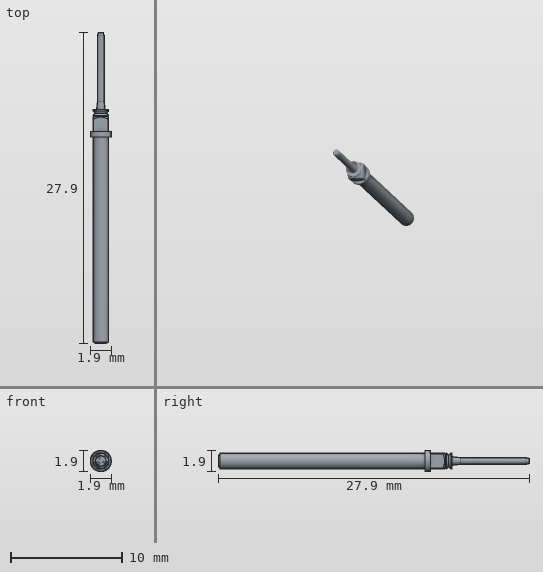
import cadquery as cq

total_length = 27.9
collar_radius = 0.95

pin_radius = 0.3
tip_radius = 0.22
tip_length = 0.28
pin_length = 6.17
taper_end_radius = 0.4
taper_length = 0.75

ring_radius = 0.7
ring_width = 0.1
groove_radius = 0.53
groove_slope_length = 0.22
lip_slope_length = 0.17
neck_radius = 0.6
neck_slope_length = 0.1

square_side = 1.4
square_length = 1.35
square_bevel_length = 0.22
collar_width = 0.5
barrel_radius = 0.7
end_face_radius = 0.47
end_bevel_length = 0.15

tip_y = total_length / 2
pin_end_y = tip_y - pin_length
ring_y = pin_end_y - taper_length
groove_top_y = ring_y - ring_width
groove_y = groove_top_y - groove_slope_length
lip_y = groove_y - lip_slope_length
square_y = lip_y - neck_slope_length
collar_y = square_y - square_length
barrel_y = collar_y - collar_width
end_y = -total_length / 2


def revolve_profile(points):
    """Revolve an outer (radius, y) line about the Y axis, closing it along the axis."""
    first_y = points[0][1]
    last_y = points[-1][1]
    outline = [(0, first_y)] + points + [(0, last_y)]
    return cq.Workplane("XY").polyline(outline).close().revolve(360, (0, 0, 0), (0, 1, 0))


def make_pin_and_ring():
    return revolve_profile([
        (tip_radius, tip_y),
        (pin_radius, tip_y - tip_length),
        (pin_radius, pin_end_y),
        (taper_end_radius, ring_y),
        (ring_radius, ring_y),
        (ring_radius, groove_top_y),
        (groove_radius, groove_y),
        (ring_radius, lip_y),
        (neck_radius, square_y),
    ])


def make_square_section():
    """Square bar whose corners are rounded to the collar and bevelled towards the pin."""
    bar = cq.Workplane("XY").box(square_side, square_length, square_side)
    bar = bar.translate((0, square_y - square_length / 2, 0))
    envelope = revolve_profile([
        (neck_radius, square_y),
        (collar_radius, square_y - square_bevel_length),
        (collar_radius, collar_y),
    ])
    return bar.intersect(envelope)


def make_collar_and_barrel():
    return revolve_profile([
        (collar_radius, collar_y),
        (collar_radius, barrel_y),
        (barrel_radius, barrel_y),
        (barrel_radius, end_y + end_bevel_length),
        (end_face_radius, end_y),
    ])


result = make_pin_and_ring().union(make_square_section()).union(make_collar_and_barrel())